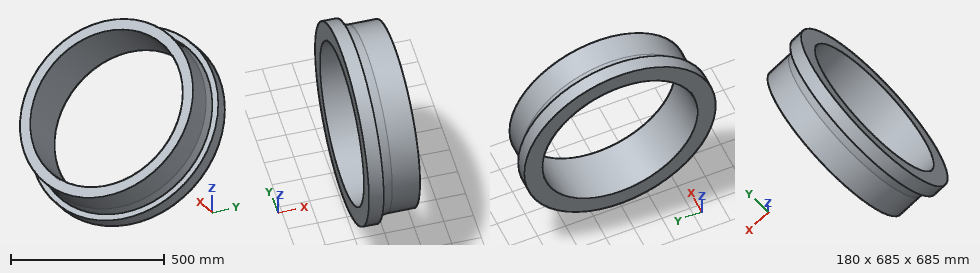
import cadquery as cq

flange_diameter = 685.0
flange_thickness = 50.0
hub_diameter = 642.5
hub_length = 35.0
sleeve_diameter = 630.0
bore_diameter = 555.0
total_length = 180.0

flange_radius = flange_diameter / 2
hub_radius = hub_diameter / 2
sleeve_radius = sleeve_diameter / 2
bore_radius = bore_diameter / 2
hub_end = flange_thickness + hub_length

half_section = (
    cq.Workplane("XY")
    .moveTo(0, bore_radius)
    .lineTo(0, flange_radius)
    .lineTo(flange_thickness, flange_radius)
    .lineTo(flange_thickness, hub_radius)
    .lineTo(hub_end, sleeve_radius)
    .lineTo(total_length, sleeve_radius)
    .lineTo(total_length, bore_radius)
    .close()
)

result = half_section.revolve(360, (0, 0, 0), (1, 0, 0))